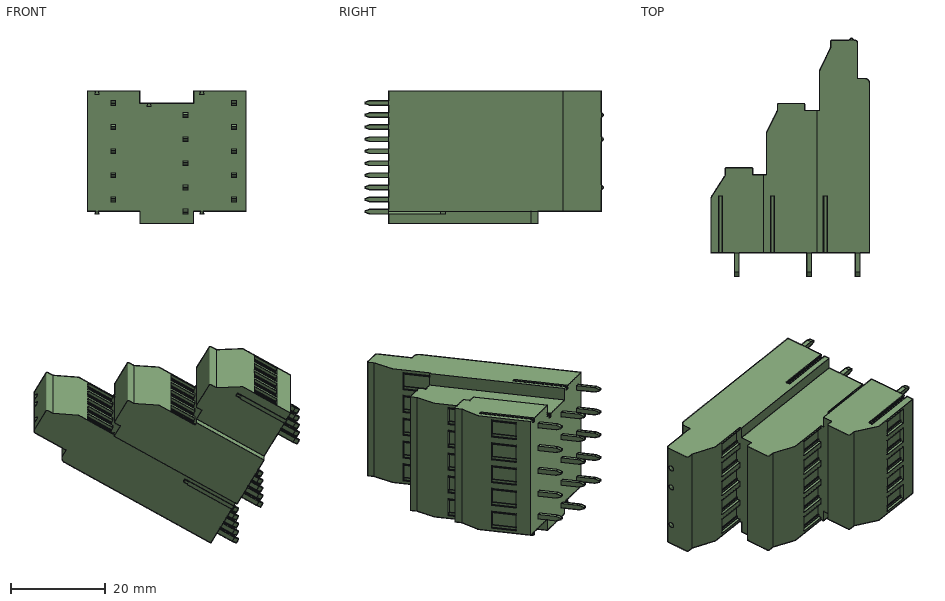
import cadquery as cq


POLES = 5
PITCH = 5.1
ROW_HEIGHT = 25.35
ROW_OFFSET = 2.55
BODY_WIDTH = 33.4
TOTAL_LENGTH = 50.3
MIDDLE_ROW_X = 11.05
BACK_ROW_X = 22.4

FRONT_LEDGE_Y = 16.45
MIDDLE_LEDGE_Y = 30.0
BACK_LEDGE_Y = 36.7
FRONT_TOP_Y = 17.95
MIDDLE_TOP_Y = 31.5
BODY_TOP_Y = 44.75
FRONT_HEAD_X = (2.95, 8.85)
MIDDLE_HEAD_X = (14.0, 19.75)
BACK_HEAD_X = (25.2, 30.9)
FRONT_SLOPE_Y = (11.65, 16.3)
MIDDLE_SLOPE_Y = (25.3, MIDDLE_LEDGE_Y)
BACK_SLOPE_Y = (38.35, 43.25)
MIDDLE_WALL_X = 11.65
BACK_WALL_X = 22.85
HEAD_ROUND = 0.3
SLOPE_ROUND = 0.65
BACK_SLOPE_ROUND = 0.3
BACK_HEAD_ROUND = 0.55
BACK_SHOULDER_ROUND = 1.0

FRONT_OPENING_Y = (3.25, 8.75)
MIDDLE_OPENING_TOP_Y = 22.3
BACK_OPENING_TOP_Y = 36.05
OPENING_HEIGHT = 3.75
OPENING_STEP = 0.5
OPENING_DEPTH = 0.6
CENTRE_DEPTH = 0.85

MARKER_X = 29.6
MARKER_RADIUS = 0.6
MARKER_HEIGHT = 0.5
MARKER_POLES = (1, 2, 4)

PIN_X = (5.45, 20.65, 30.9)
PIN_SIZE = 1.0
PIN_LENGTH = TOTAL_LENGTH - BODY_TOP_Y - MARKER_HEIGHT
PIN_TAPER_LENGTH = 1.0
PIN_TIP_SIZE = 0.3
PIN_ROOT = 0.5

RAIL_LENGTH = 11.9
RAIL_LEAD_LENGTH = 1.0
RAIL_NECK = 0.55
RAIL_HEAD = 0.8
RAIL_HEIGHT = 0.6
DOVETAIL_LIP = 0.15
GROOVE_NECK = 0.6
GROOVE_HEAD = 0.9
GROOVE_DEPTH = 0.75
GROOVE_MOUTH = 0.9
GROOVE_MOUTH_DEPTH = 0.2
FRONT_RAIL_X = 2.0
MIDDLE_RAIL_X = 13.0
BACK_RAIL_X = 24.1


def make_row(outline, bottom_z, rounds):
    """Extrude an XY outline over the height of one row and round the listed (x, y, radius) corners."""
    row = cq.Workplane("XY").polyline(outline).close().extrude(ROW_HEIGHT)
    for x, y, radius in rounds:
        row = row.edges(cq.NearestToPointSelector((x, y, ROW_HEIGHT / 2))).fillet(radius)
    return row.translate((0, 0, bottom_z))


def front_row():
    outline = [
        (0, 0),
        (0, FRONT_SLOPE_Y[0]),
        (FRONT_HEAD_X[0], FRONT_SLOPE_Y[1]),
        (FRONT_HEAD_X[0], FRONT_TOP_Y),
        (FRONT_HEAD_X[1], FRONT_TOP_Y),
        (FRONT_HEAD_X[1], FRONT_LEDGE_Y),
        (MIDDLE_ROW_X, FRONT_LEDGE_Y),
        (MIDDLE_ROW_X, 0),
    ]
    rounds = [
        (0, FRONT_SLOPE_Y[0], SLOPE_ROUND),
        (FRONT_HEAD_X[0], FRONT_TOP_Y, HEAD_ROUND),
        (FRONT_HEAD_X[1], FRONT_TOP_Y, HEAD_ROUND),
    ]
    return make_row(outline, ROW_OFFSET, rounds)


def middle_row():
    outline = [
        (MIDDLE_ROW_X, 0),
        (MIDDLE_ROW_X, FRONT_LEDGE_Y),
        (MIDDLE_WALL_X, FRONT_LEDGE_Y),
        (MIDDLE_WALL_X, MIDDLE_SLOPE_Y[0]),
        (MIDDLE_HEAD_X[0], MIDDLE_SLOPE_Y[1]),
        (MIDDLE_HEAD_X[0], MIDDLE_TOP_Y),
        (MIDDLE_HEAD_X[1], MIDDLE_TOP_Y),
        (MIDDLE_HEAD_X[1], MIDDLE_LEDGE_Y),
        (BACK_ROW_X, MIDDLE_LEDGE_Y),
        (BACK_ROW_X, 0),
    ]
    rounds = [
        (MIDDLE_WALL_X, MIDDLE_SLOPE_Y[0], SLOPE_ROUND),
        (MIDDLE_HEAD_X[0], MIDDLE_TOP_Y, HEAD_ROUND),
        (MIDDLE_HEAD_X[1], MIDDLE_TOP_Y, HEAD_ROUND),
    ]
    return make_row(outline, 0, rounds)


def back_row():
    outline = [
        (BACK_ROW_X, 0),
        (BACK_ROW_X, MIDDLE_LEDGE_Y),
        (BACK_WALL_X, MIDDLE_LEDGE_Y),
        (BACK_WALL_X, BACK_SLOPE_Y[0]),
        (BACK_HEAD_X[0], BACK_SLOPE_Y[1]),
        (BACK_HEAD_X[0], BODY_TOP_Y),
        (BACK_HEAD_X[1], BODY_TOP_Y),
        (BACK_HEAD_X[1], BACK_LEDGE_Y),
        (BODY_WIDTH, BACK_LEDGE_Y),
        (BODY_WIDTH, 0),
    ]
    rounds = [
        (BACK_WALL_X, BACK_SLOPE_Y[0], BACK_SLOPE_ROUND),
        (BACK_HEAD_X[0], BODY_TOP_Y, HEAD_ROUND),
        (BACK_HEAD_X[1], BODY_TOP_Y, BACK_HEAD_ROUND),
        (BODY_WIDTH, BACK_LEDGE_Y, BACK_SHOULDER_ROUND),
    ]
    return make_row(outline, ROW_OFFSET, rounds)


def pole_heights(bottom_z):
    """Centre heights of the poles of a row."""
    first = bottom_z + (ROW_HEIGHT - (POLES - 1) * PITCH) / 2
    return [first + pole * PITCH for pole in range(POLES)]


def make_box(x, y, length, width, z, height):
    """Box from corner (x, y), centred on height z."""
    return cq.Workplane("XY").box(length, width, height, centered=(False, False, True)).translate((x, y, z))


def wire_opening(wall_x, low_y, high_y, z):
    """Stepped recess cut into a wall that faces -X."""
    width = high_y - low_y
    recess = make_box(wall_x, low_y, OPENING_DEPTH, width, z, OPENING_HEIGHT)
    centre_height = OPENING_HEIGHT - 2 * OPENING_STEP
    return recess.union(make_box(wall_x, low_y, CENTRE_DEPTH, width, z, centre_height))


def solder_pin(x, z):
    """Square pin whose end narrows along Z to a blunt edge."""
    half, tip, shoulder_y = PIN_SIZE / 2, PIN_TIP_SIZE / 2, PIN_TAPER_LENGTH - PIN_LENGTH
    side = [
        (PIN_ROOT, -half), (shoulder_y, -half), (-PIN_LENGTH, -tip),
        (-PIN_LENGTH, tip), (shoulder_y, half), (PIN_ROOT, half),
    ]
    pin = cq.Workplane("YZ").polyline(side).close().extrude(half, both=True)
    return pin.translate((x, 0, z))


def dovetail(x, surface_z, neck, head, height, length):
    """Dovetail bar below a surface, running along +Y from the pin face."""
    lip_z = surface_z - height + DOVETAIL_LIP
    base_z = surface_z - height
    section = [
        (x - neck / 2, surface_z), (x - head / 2, lip_z), (x - head / 2, base_z),
        (x + head / 2, base_z), (x + head / 2, lip_z), (x + neck / 2, surface_z),
    ]
    return cq.Workplane("XZ").polyline(section).close().extrude(-length)


def rail(x):
    """Dovetail rail under an outer row, with a straight end."""
    flared_length = RAIL_LENGTH - RAIL_LEAD_LENGTH
    flared = dovetail(x, ROW_OFFSET, RAIL_NECK, RAIL_HEAD, RAIL_HEIGHT, flared_length)
    lead_z = ROW_OFFSET - RAIL_HEIGHT / 2
    lead = make_box(x - RAIL_NECK / 2, flared_length, RAIL_NECK, RAIL_LEAD_LENGTH, lead_z, RAIL_HEIGHT)
    return flared.union(lead)


def groove(x, top_z):
    """Dovetail groove with a chamfered mouth, as a cutting solid."""
    neck_z = top_z - GROOVE_MOUTH_DEPTH
    undercut_depth = GROOVE_DEPTH - GROOVE_MOUTH_DEPTH
    undercut = dovetail(x, neck_z, GROOVE_NECK, GROOVE_HEAD, undercut_depth, RAIL_LENGTH)
    section = [
        (x - GROOVE_MOUTH / 2, top_z), (x - GROOVE_NECK / 2, neck_z),
        (x + GROOVE_NECK / 2, neck_z), (x + GROOVE_MOUTH / 2, top_z),
    ]
    mouth = cq.Workplane("XZ").polyline(section).close().extrude(-RAIL_LENGTH)
    return undercut.union(mouth)


def marker(z):
    """Small cone pointing to +Y."""
    cone = cq.Solid.makeCone(
        MARKER_RADIUS, 0, MARKER_HEIGHT, cq.Vector(MARKER_X, BODY_TOP_Y, z), cq.Vector(0, 1, 0)
    )
    return cq.Workplane(obj=cone)


outer_top_z = ROW_OFFSET + ROW_HEIGHT
outer_poles = pole_heights(ROW_OFFSET)
middle_poles = pole_heights(0)

result = front_row().union(middle_row()).union(back_row())

for pole_z in outer_poles:
    result = result.cut(wire_opening(0, *FRONT_OPENING_Y, pole_z))
    result = result.cut(wire_opening(BACK_WALL_X, MIDDLE_LEDGE_Y, BACK_OPENING_TOP_Y, pole_z))
for pole_z in middle_poles:
    result = result.cut(wire_opening(MIDDLE_WALL_X, FRONT_LEDGE_Y, MIDDLE_OPENING_TOP_Y, pole_z))

result = result.cut(groove(FRONT_RAIL_X, outer_top_z))
result = result.cut(groove(MIDDLE_RAIL_X, ROW_HEIGHT))
result = result.cut(groove(BACK_RAIL_X, outer_top_z))
result = result.union(rail(FRONT_RAIL_X)).union(rail(BACK_RAIL_X))

for pin_x, pin_heights in zip(PIN_X, (outer_poles, middle_poles, outer_poles)):
    for pin_z in pin_heights:
        result = result.union(solder_pin(pin_x, pin_z))

for boundary in MARKER_POLES:
    result = result.union(marker(outer_top_z - boundary * PITCH))